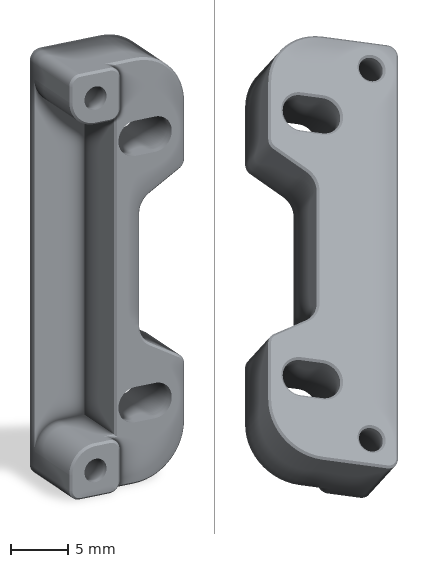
import cadquery as cq
import math

height = 40.0
depth = 12.0
full_thickness = 7.5
pad_height = 1.0
body_thickness = full_thickness - pad_height
chamfer = 0.2

waist_depth = 7.5
slope_angle = 30.0
slope_start = 10.95
front_radius = 1.0
back_radius = 5.0
shoulder_radius = 1.0
waist_radius = 2.0

post_size = 5.0
post_radius = post_size / 2
plate_thickness = 1.0

screw_diameter = 2.2
slot_width = 3.3
slot_travel = 2.0
slot_length = slot_width + slot_travel
slot_y = 8.0
slot_end_distance = 7.5

half_height = height / 2
slope_rise = (depth - waist_depth) * math.tan(math.radians(slope_angle))
shoulder_z = half_height - slope_start
waist_z = shoulder_z - slope_rise
post_inner_z = half_height - post_size
post_middle_z = half_height - post_radius
overcut = 0.4
pick_margin = 0.05


def fillet_edges_at(solid, y, z, radius):
    """Round the two X-direction edges at depth y and heights +z and -z."""
    for end in (1, -1):
        corner = cq.selectors.BoxSelector(
            (-overcut, y - pick_margin, end * z - pick_margin),
            (full_thickness + overcut, y + pick_margin, end * z + pick_margin),
        )
        solid = solid.edges("|X").edges(corner).fillet(radius)
    return solid


def make_body():
    """Waisted block, extruded along X, with rounded corners."""
    outline = [
        (0, -half_height),
        (depth, -half_height),
        (depth, -shoulder_z),
        (waist_depth, -waist_z),
        (waist_depth, waist_z),
        (depth, shoulder_z),
        (depth, half_height),
        (0, half_height),
    ]
    body = cq.Workplane("YZ").polyline(outline).close().extrude(body_thickness)
    body = fillet_edges_at(body, 0, half_height, front_radius)
    body = fillet_edges_at(body, depth, half_height, back_radius)
    body = fillet_edges_at(body, depth, shoulder_z, shoulder_radius)
    return fillet_edges_at(body, waist_depth, waist_z, waist_radius)


def make_channel():
    """Space between the posts, whose front inner corners are round."""
    diagonal = post_radius * math.sqrt(0.5)
    arc_y = post_radius - diagonal
    arc_z = post_middle_z - diagonal
    return (
        cq.Workplane("YZ", origin=(plate_thickness, 0, 0))
        .moveTo(post_size, -post_inner_z)
        .lineTo(post_size, post_inner_z)
        .lineTo(post_radius, post_inner_z)
        .threePointArc((arc_y, arc_z), (0, post_middle_z))
        .lineTo(-overcut, post_middle_z)
        .lineTo(-overcut, -post_middle_z)
        .lineTo(0, -post_middle_z)
        .threePointArc((arc_y, -arc_z), (post_radius, -post_inner_z))
        .close()
        .extrude(full_thickness)
    )


def make_post():
    """Upper post: a bar with one large and three small round corners, chamfered at its tip."""
    post_length = full_thickness - plate_thickness
    post = (
        cq.Workplane("XY")
        .box(post_length, post_size, post_size, centered=False)
        .translate((plate_thickness, 0, post_inner_z))
    )
    post = post.edges("|X and <Y and <Z").fillet(post_radius)
    post = post.edges("|X and (>Y or >Z)").fillet(front_radius)
    return post.faces(">X").chamfer(chamfer)


def make_hole(y, z, length, width):
    """Through slot (round when length equals width), chamfered at the X=0 face."""
    def outline(extra):
        plane = cq.Workplane("YZ").center(y, z)
        if length > width:
            return plane.slot2D(length + extra, width + extra)
        return plane.circle((width + extra) / 2)

    hole = outline(0).extrude(full_thickness)
    countersink = outline(2 * chamfer).extrude(chamfer, taper=45)
    return hole.union(countersink)


body = make_body().cut(make_channel()).faces("<X or >X").chamfer(chamfer)

upper_post = make_post()
result = body.union(upper_post).union(upper_post.mirror("XY"))

for end in (1, -1):
    screw_z = end * post_middle_z
    slot_z = end * (half_height - slot_end_distance)
    result = result.cut(make_hole(post_radius, screw_z, screw_diameter, screw_diameter))
    result = result.cut(make_hole(slot_y, slot_z, slot_length, slot_width))